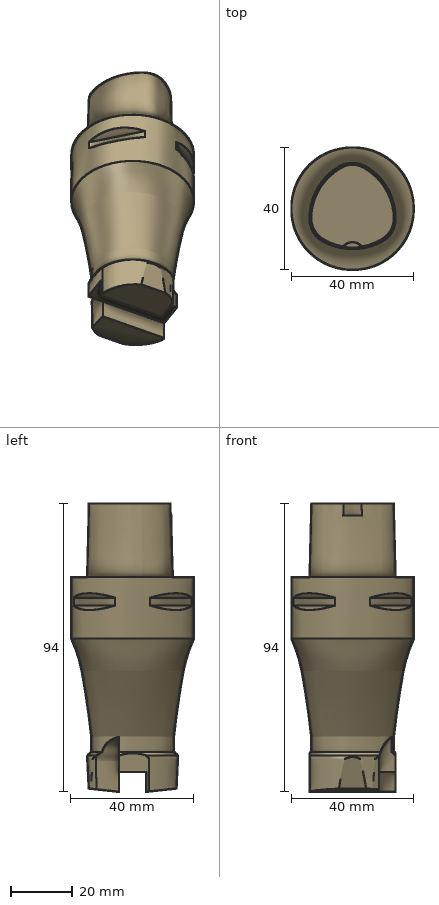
import cadquery as cq
import math

shank_length = 24.0
flange_height = 20.0
shoulder_end_z = -30.6
neck_end_z = -52.0
collar_chamfer_z = -56.9
collar_round_z = -58.1
collar_full_z = -59.2
bottom_z = -70.0

flange_radius = 20.0
shoulder_radius = 16.6
neck_radius = 13.5
collar_radius = 14.7
head_radius = 15.0
shoulder_hollow = 0.35
neck_hollow = 0.2

lobe_center_distance = 6.4
lobe_radius = 8.5
shank_taper = math.degrees(math.atan(1 / 40))

keyway_depth = 4.0
keyway_radius = 3.75
keyway_inner_y = -10.9

notch_z = -8.0
notch_floor_distance = 17.6
notch_floor_height = 2.5
notch_flank_angle = 32.0

flat_distance = 14.0
slot_half_width = 4.4
slot_top_z = -63.5
pocket_wall_x = 8.64
gullet_start_z = -60.0
gullet_radius = 9.7
end_relief_rise = 1.1
end_relief_y = 14.4
crown_relief_top = 14.81
crown_relief_bottom = 14.33
edge_relief_top = 14.75
edge_relief_bottom = 14.55
edge_relief_angle = 40.0
relief_bottom_z = -68.9

margin = 5.0


def polar(center, radius, angle):
    """Point at the given radius and angle (degrees) around center."""
    a = math.radians(angle)
    return (center[0] + radius * math.cos(a), center[1] + radius * math.sin(a))


def make_body():
    """Revolved flange, shoulder, neck and head."""
    shoulder_mid = (
        (flange_radius + shoulder_radius) / 2 - shoulder_hollow,
        (shoulder_end_z - flange_height) / 2,
    )
    neck_mid = (
        (shoulder_radius + neck_radius) / 2 - neck_hollow,
        (shoulder_end_z + neck_end_z) / 2,
    )
    return (
        cq.Workplane("XZ")
        .moveTo(0, 0)
        .lineTo(flange_radius, 0)
        .lineTo(flange_radius, -flange_height)
        .threePointArc(shoulder_mid, (shoulder_radius, shoulder_end_z))
        .threePointArc(neck_mid, (neck_radius, neck_end_z))
        .lineTo(neck_radius, collar_chamfer_z)
        .lineTo(collar_radius, collar_round_z)
        .lineTo(head_radius, collar_full_z)
        .lineTo(head_radius, bottom_z)
        .lineTo(0, bottom_z)
        .close()
        .revolve(360, (0, 0, 0), (0, 1, 0))
    )


def make_shank():
    """Tapered shank of constant width, one lobe pointing to +Y."""
    side_radius = lobe_radius + math.sqrt(3) * lobe_center_distance
    first_lobe = polar((0, 0), lobe_center_distance, 90)
    outline = cq.Workplane("XY").moveTo(*polar(first_lobe, lobe_radius, 60))
    for lobe_angle in (90, 210, 330):
        lobe = polar((0, 0), lobe_center_distance, lobe_angle)
        outline = outline.threePointArc(
            polar(lobe, lobe_radius, lobe_angle), polar(lobe, lobe_radius, lobe_angle + 30)
        )
        side_angle = lobe_angle + 60
        opposite = polar((0, 0), lobe_center_distance, side_angle + 180)
        outline = outline.threePointArc(
            polar(opposite, side_radius, side_angle), polar(opposite, side_radius, side_angle + 30)
        )
    return outline.close().extrude(shank_length, taper=shank_taper)


def make_keyway():
    """Round-bottomed notch in the -Y side of the shank's end."""
    return (
        cq.Workplane("XY", origin=(0, keyway_inner_y - keyway_radius, shank_length - keyway_depth))
        .circle(keyway_radius)
        .extrude(keyway_depth + margin)
    )


def make_notch(angle):
    """Straight gripper notch with sloped flanks, facing the given direction."""
    reach = flange_radius + margin
    floor_half = notch_floor_height / 2
    flank_rise = (reach - notch_floor_distance) * math.tan(math.radians(notch_flank_angle))
    mouth_half = floor_half + flank_rise
    return (
        cq.Workplane("XZ")
        .polyline([
            (notch_floor_distance, notch_z - floor_half),
            (reach, notch_z - mouth_half),
            (reach, notch_z + mouth_half),
            (notch_floor_distance, notch_z + floor_half),
        ])
        .close()
        .extrude(flange_radius, both=True)
        .rotate((0, 0, 0), (0, 0, 1), angle)
    )


def make_slot():
    """Cross slot along X through the end of the head."""
    height = slot_top_z - bottom_z + margin
    return (
        cq.Workplane("XY", origin=(0, 0, slot_top_z - height))
        .rect(2 * flange_radius, 2 * slot_half_width)
        .extrude(height)
    )


def make_side_flat():
    """Flat on the +X side of the head."""
    return (
        cq.Workplane("XY", origin=(0, 0, bottom_z - margin))
        .center(flat_distance + margin / 2, 0)
        .rect(margin, 2 * head_radius)
        .extrude(collar_chamfer_z - bottom_z + margin)
    )


def make_pocket():
    """Insert pocket on the +X, -Y quarter, running out upwards in a round gullet."""
    outer_x = pocket_wall_x + gullet_radius
    gullet_center = (outer_x, gullet_start_z)
    return (
        cq.Workplane("XZ", origin=(0, -slot_half_width, 0))
        .moveTo(outer_x, bottom_z - margin)
        .lineTo(pocket_wall_x, bottom_z - margin)
        .lineTo(pocket_wall_x, gullet_start_z)
        .threePointArc(
            polar(gullet_center, gullet_radius, 135), (outer_x, gullet_start_z + gullet_radius)
        )
        .close()
        .extrude(head_radius)
    )


def make_end_relief():
    """Wedge that slopes the end face upwards towards -Y."""
    slope = end_relief_rise / (end_relief_y - slot_half_width)
    outer_y = head_radius + margin
    outer_z = bottom_z + slope * (outer_y - slot_half_width)
    return (
        cq.Workplane("YZ")
        .polyline([(-slot_half_width, bottom_z), (-outer_y, outer_z), (-outer_y, bottom_z)])
        .close()
        .extrude(head_radius, both=True)
    )


def make_relief_flat(top_distance, bottom_distance, angle):
    """Sloping flat on the head, turned by angle from -Y towards +X."""
    slope = (top_distance - bottom_distance) / (collar_full_z - relief_bottom_z)
    upper_z = collar_full_z + margin
    lower_z = bottom_z - margin
    outer_y = head_radius + margin
    return (
        cq.Workplane("YZ")
        .polyline([
            (-(top_distance + slope * (upper_z - collar_full_z)), upper_z),
            (-(top_distance + slope * (lower_z - collar_full_z)), lower_z),
            (-outer_y, lower_z),
            (-outer_y, upper_z),
        ])
        .close()
        .extrude(margin, both=True)
        .rotate((0, 0, 0), (0, 0, 1), angle)
    )


result = make_body().union(make_shank()).cut(make_keyway())

for notch_angle in (45, 135, 225, 315):
    result = result.cut(make_notch(notch_angle))

result = result.cut(make_slot())

half_head_cuts = [
    make_side_flat(),
    make_pocket(),
    make_end_relief(),
    make_relief_flat(crown_relief_top, crown_relief_bottom, 0),
    make_relief_flat(edge_relief_top, edge_relief_bottom, edge_relief_angle),
]
for half_turn in (0, 180):
    for cutter in half_head_cuts:
        result = result.cut(cutter.rotate((0, 0, 0), (0, 0, 1), half_turn))